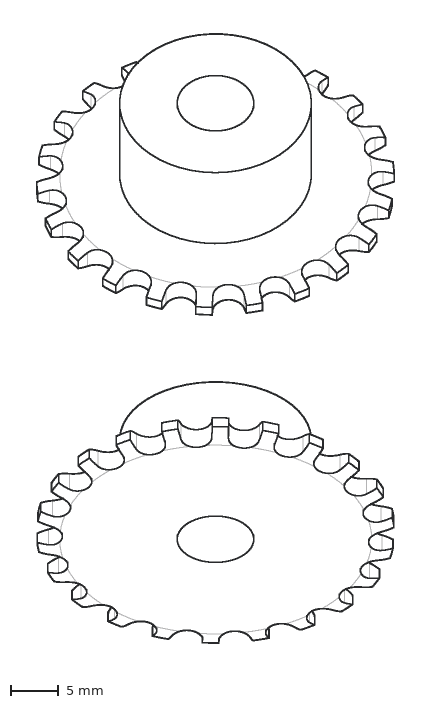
import cadquery as cq
import math

tooth_count = 22
tip_radius = 18.65
pitch_radius = 17.6
roller_radius = 1.65
shoulder_radius = 16.25
plate_thickness = 2.3
tip_thickness = 1.15
total_height = 13.0
hub_diameter = 20.0
bore_diameter = 8.0

tooth_angle = 360.0 / tooth_count
half_tooth_angle = math.radians(tooth_angle / 2)
edge_drop = (plate_thickness - tip_thickness) / 2
tooth_length = tip_radius - shoulder_radius
edge_arc_radius = (tooth_length**2 + edge_drop**2) / (2 * edge_drop)


def plate_blank():
    """Disc whose rim narrows toward the tip along arcs tangent to its flat faces."""
    return (
        cq.Workplane("YZ")
        .lineTo(shoulder_radius, 0)
        .radiusArc((tip_radius, edge_drop), -edge_arc_radius)
        .lineTo(tip_radius, plate_thickness - edge_drop)
        .radiusArc((shoulder_radius, plate_thickness), -edge_arc_radius)
        .lineTo(0, plate_thickness)
        .close()
        .revolve(360, (0, 0, 0), (0, 1, 0))
    )


def tooth_gap():
    """Gap centred on +X: a round roller seat opening along flanks parallel to the adjacent teeth."""
    flank_x = pitch_radius - roller_radius * math.sin(half_tooth_angle)
    flank_y = roller_radius * math.cos(half_tooth_angle)
    flank_length = 2 * (tip_radius - pitch_radius)
    mouth_x = flank_x + flank_length * math.cos(half_tooth_angle)
    mouth_y = flank_y + flank_length * math.sin(half_tooth_angle)
    return (
        cq.Workplane("XY")
        .moveTo(mouth_x, -mouth_y)
        .lineTo(flank_x, -flank_y)
        .threePointArc((pitch_radius - roller_radius, 0), (flank_x, flank_y))
        .lineTo(mouth_x, mouth_y)
        .close()
        .extrude(plate_thickness)
    )


result = plate_blank()
gap = tooth_gap()
for index in range(tooth_count):
    result = result.cut(gap.rotate((0, 0, 0), (0, 0, 1), index * tooth_angle))

hub = cq.Workplane("XY").circle(hub_diameter / 2).extrude(total_height)
result = result.union(hub)

bore = cq.Workplane("XY").circle(bore_diameter / 2).extrude(total_height)
result = result.cut(bore)